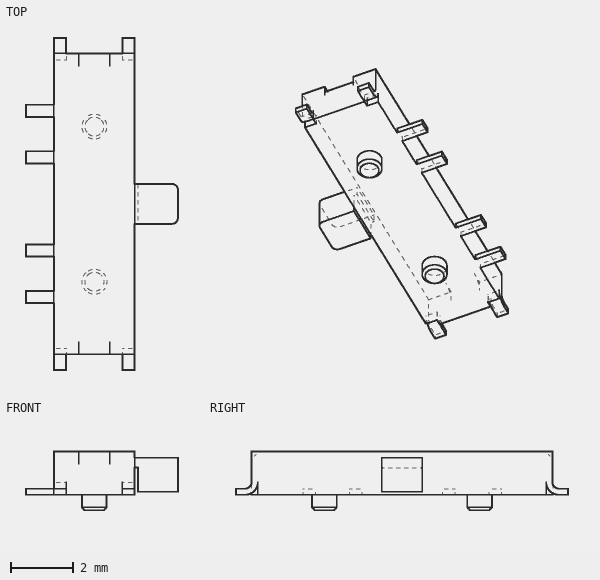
import cadquery as cq
import math


body_width = 2.6
body_length = 9.69
body_height = 1.4
end_round_width = 1.01
end_round_radius = 0.4

strip_width = 0.4
strip_thickness = 0.2

terminal_reach = 0.9
terminal_pitch = 1.5
terminal_slots = (-2, -1, 1, 2)

foot_reach = 0.5
foot_height = 0.5
bend_inner_radius = 0.2
bend_outer_radius = bend_inner_radius + strip_thickness

slider_reach = 1.4
slider_width = 1.3
slider_bottom = 0.1
slider_top = 1.2
slider_corner_radius = 0.2
stem_length = 0.11
stem_bottom = 0.88

peg_diameter = 0.8
peg_height = 0.5
peg_chamfer = 0.1
peg_spacing = 5.0

half_width = body_width / 2
half_length = body_length / 2


def box(x_start, x_end, y_center, y_size, z_start, z_end):
    """Block between two X and two Z levels, centred on y_center."""
    size = (x_end - x_start, y_size, z_end - z_start)
    center = ((x_start + x_end) / 2, y_center, (z_start + z_end) / 2)
    return cq.Workplane("XY").box(*size).translate(center)


def on_both_ends(shape):
    """The shape together with its mirror image at the other end of the body."""
    return shape.union(shape.mirror("XZ"))


def on_four_corners(shape):
    """Copies of the shape mirrored to all four corners."""
    return on_both_ends(shape.union(shape.mirror("YZ")))


def end_round_cutter():
    """Material outside the rounded middle stretch of the -Y top edge."""
    radius = end_round_radius
    diagonal = radius * (1 - math.sqrt(0.5))
    return (
        cq.Workplane("YZ", origin=(-end_round_width / 2, 0, 0))
        .moveTo(-half_length, body_height)
        .lineTo(-half_length, body_height - radius)
        .threePointArc(
            (-half_length + diagonal, body_height - diagonal),
            (-half_length + radius, body_height),
        )
        .close()
        .extrude(end_round_width)
    )


def foot_pocket():
    """Corner pocket that holds the upright leg of the -X, -Y foot."""
    pocket_center = -half_length + strip_thickness / 2
    return box(-half_width, -half_width + strip_width, pocket_center, strip_thickness, 0, foot_height)


def foot():
    """Strip at the -X, -Y corner, bent from an upright leg to a flat toe."""
    inner_face = -half_length + strip_thickness
    bend_y = -half_length - bend_inner_radius
    bend_z = bend_outer_radius
    toe = -half_length - foot_reach
    inner_diagonal = bend_inner_radius * math.sqrt(0.5)
    outer_diagonal = bend_outer_radius * math.sqrt(0.5)
    return (
        cq.Workplane("YZ", origin=(-half_width, 0, 0))
        .moveTo(toe, 0)
        .lineTo(bend_y, 0)
        .threePointArc((bend_y + outer_diagonal, bend_z - outer_diagonal), (inner_face, bend_z))
        .lineTo(inner_face, foot_height)
        .lineTo(-half_length, foot_height)
        .lineTo(-half_length, bend_z)
        .threePointArc((bend_y + inner_diagonal, bend_z - inner_diagonal), (bend_y, strip_thickness))
        .lineTo(toe, strip_thickness)
        .close()
        .extrude(strip_width)
    )


def terminals():
    """Flat terminals in two pairs; the middle position is left empty."""
    row = cq.Workplane("XY")
    for slot in terminal_slots:
        y_center = slot * terminal_pitch
        row = row.add(
            box(-half_width - terminal_reach, -half_width, y_center, strip_width, 0, strip_thickness)
        )
    return row.combine()


def slider():
    """Knob with rounded outer corners, hung on a stem that keeps it clear of the housing."""
    knob_start = half_width + stem_length
    knob_end = half_width + slider_reach
    knob = box(knob_start, knob_end, 0, slider_width, slider_bottom, slider_top)
    knob = knob.edges("|Z and >X").fillet(slider_corner_radius)
    stem = box(half_width, knob_start, 0, slider_width, stem_bottom, slider_top)
    return knob.union(stem)


def peg():
    """Chamfered locating peg near the -Y end."""
    return (
        cq.Workplane("XY", origin=(0, -peg_spacing / 2, 0))
        .circle(peg_diameter / 2)
        .extrude(-peg_height)
        .faces("<Z")
        .chamfer(peg_chamfer)
    )


housing = box(-half_width, half_width, 0, body_length, 0, body_height)
housing = housing.cut(on_both_ends(end_round_cutter()))
housing = housing.cut(on_four_corners(foot_pocket()))

result = (
    housing.union(on_four_corners(foot()))
    .union(terminals())
    .union(slider())
    .union(on_both_ends(peg()))
)